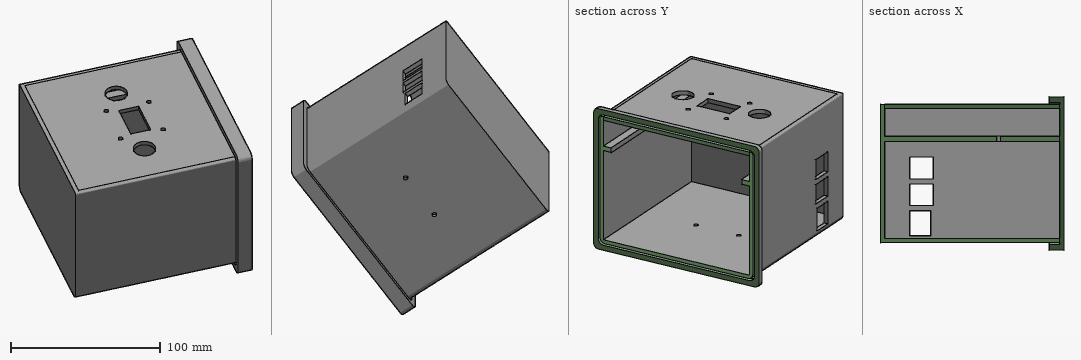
import cadquery as cq

width = 130.0
height = 103.0
length = 123.0

bezel_depth = 10.0
bezel_floor = 3.0
bezel_rim = 4.0
bezel_corner_radius = 4.0
bezel_gap = 1.0

wall = 3.0
box_inset = bezel_rim + bezel_gap
box_width = width - 2 * box_inset
box_height = height - 2 * box_inset
box_length = length - bezel_floor
bottom_corner_radius = 4.0
top_edge_radius = 1.0
inner_width = box_width - 2 * wall

window_front = 19.8
window_back = 35.4
low_window_back = 33.5
windows = [
    (window_front, window_back, 42.9, 57.5),
    (window_front, window_back, 25.1, 39.3),
    (window_front, low_window_back, 4.8, 21.3),
]

ledge_width = 6.0
ledge_thickness = 3.6
ledge_drop = 21.5
ledge_hole_diameter = 2.5
ledge_hole_y = 79.2

floor_hole_diameter = 3.0
floor_hole_x = 16.8
floor_hole_y = 63.5

lid_thickness = 3.0
screw_hole_diameter = 3.0
screw_spacing = 30.0
screw_center_y = 61.6
round_opening_diameter = 15.0
round_opening_x = 30.0
round_opening_y = 58.5
slot_width = 25.5
slot_length = 14.0
slot_center_y = 61.6


def block(x_range, y_range, z_range):
    """Plain box between the given limits."""
    (x0, x1), (y0, y1), (z0, z1) = x_range, y_range, z_range
    return cq.Workplane("XY").box(x1 - x0, y1 - y0, z1 - z0, centered=False).translate((x0, y0, z0))


def centered_block(size_x, y_range, z_range):
    """Plain box that is symmetric about X = 0."""
    return block((-size_x / 2, size_x / 2), y_range, z_range)


def vertical_holes(points, diameter, z_range):
    """Cylinders along Z, for cutting holes at the given XY points."""
    bottom, top = z_range
    holes = cq.Workplane("XY").workplane(offset=bottom).pushPoints(points)
    return holes.circle(diameter / 2).extrude(top - bottom)


def make_ledge(side):
    """Drilled ledge on one side wall; side is -1 or 1."""
    top = box_height - ledge_drop
    bottom = top - ledge_thickness
    outer_x = side * inner_width / 2
    inner_x = side * (inner_width / 2 - ledge_width)
    ledge = block(sorted((inner_x, outer_x)), (wall, box_length), (bottom, top))
    hole_x = (inner_x + outer_x) / 2
    return ledge.cut(vertical_holes([(hole_x, ledge_hole_y)], ledge_hole_diameter, (bottom, top)))


def make_box():
    body = centered_block(box_width, (0, box_length), (0, box_height))
    body = body.faces("<Z").edges("|Y").fillet(bottom_corner_radius)
    body = body.faces(">Z").edges("|Y").fillet(top_edge_radius)
    body = body.cut(centered_block(inner_width, (wall, box_length), (wall, box_height)))

    for front, back, bottom, top in windows:
        body = body.cut(block((-box_width / 2, -inner_width / 2), (front, back), (bottom, top)))

    floor_points = [(-floor_hole_x, floor_hole_y), (floor_hole_x, floor_hole_y)]
    body = body.cut(vertical_holes(floor_points, floor_hole_diameter, (0, wall)))

    for side in (-1, 1):
        body = body.union(make_ledge(side))
    return body


def make_lid():
    z_range = (box_height - lid_thickness, box_height)
    lid = centered_block(inner_width, (wall, box_length), z_range)

    screw_points = [
        (x * screw_spacing / 2, screw_center_y + y * screw_spacing / 2) for x in (-1, 1) for y in (-1, 1)
    ]
    lid = lid.cut(vertical_holes(screw_points, screw_hole_diameter, z_range))

    opening_points = [(-round_opening_x, round_opening_y), (round_opening_x, round_opening_y)]
    lid = lid.cut(vertical_holes(opening_points, round_opening_diameter, z_range))

    slot_front = slot_center_y - slot_length / 2
    return lid.cut(centered_block(slot_width, (slot_front, slot_front + slot_length), z_range))


def make_bezel():
    front = length - bezel_depth
    outline = centered_block(width, (front, length), (-box_inset, height - box_inset))
    outline = outline.edges("|Y").fillet(bezel_corner_radius)
    recess = centered_block(
        width - 2 * bezel_rim,
        (front, box_length),
        (-bezel_gap, box_height + bezel_gap),
    )
    return outline.cut(recess.edges("|Y").fillet(bezel_corner_radius))


box = make_box()
lid = make_lid()
bezel = make_bezel()

result = cq.Compound.makeCompound([box.val(), lid.val(), bezel.val()])